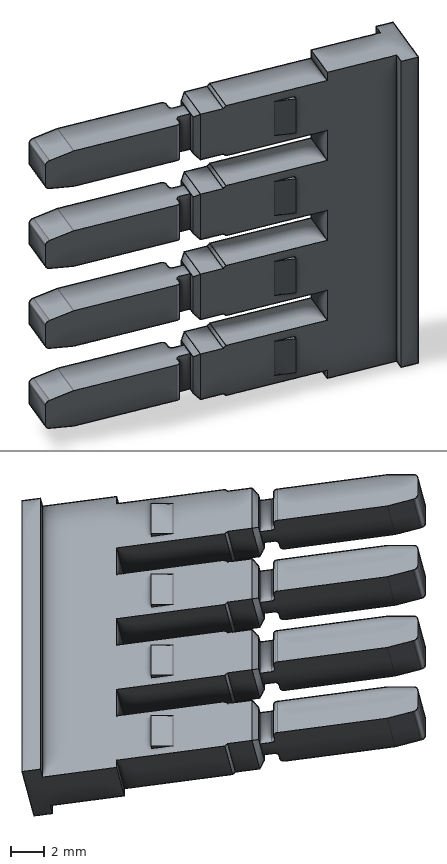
import cadquery as cq
import math

height = 22.6
length = 24.0
contact_count = 4
contact_pitch = 5.9

flange_width = 3.9
flange_depth = 1.13
stem_width = 2.5
spine_depth = 5.65

body_height = 3.7
front_body_height = 3.35
step_start = 12.25
body_end = 13.9
end_chamfer = 0.34
step_run = (body_height - front_body_height) / 2

neck_width = 0.95
neck_fillet = 0.25
blade_start = 15.17
blade_height = 2.62
blade_corner = 0.26
taper_start = 22.15
taper_angle = 10.0
tip_radius = 0.34

catch_start = 7.78
catch_end = 9.07
catch_height = 2.52
catch_rise = 0.25


def block(width, start, end, tall):
    """Box centred on X and Z, spanning two depths measured from the back face."""
    return cq.Workplane("XY").box(width, end - start, tall).translate((0, -(start + end) / 2, 0))


def side_profile(points):
    """Extrude a profile of (depth, Z) points across the stem width."""
    return (
        cq.Workplane("YZ")
        .polyline([(-depth, z) for depth, z in points])
        .close()
        .extrude(stem_width / 2, both=True)
    )


def make_body():
    half_body = body_height / 2
    half_front = front_body_height / 2
    rear = side_profile([
        (spine_depth, half_body),
        (step_start, half_body),
        (step_start + step_run, half_front),
        (step_start + step_run, -half_front),
        (step_start, -half_body),
        (spine_depth, -half_body),
    ])
    nose_end = body_end + end_chamfer
    nose = block(stem_width, step_start, nose_end, front_body_height)
    return rear.union(nose.faces("<Y").chamfer(end_chamfer))


def make_blade():
    half_blade = blade_height / 2
    half_tip = half_blade - (length - taper_start) * math.tan(math.radians(taper_angle))
    blade = side_profile([
        (blade_start, half_blade),
        (taper_start, half_blade),
        (length, half_tip),
        (length, -half_tip),
        (taper_start, -half_blade),
        (blade_start, -half_blade),
    ])
    blade = blade.faces("<Y").edges("|X").fillet(tip_radius)
    blade = blade.faces(">Y").edges("|Z").fillet(blade_corner)
    neck = block(neck_width, body_end, blade_start, blade_height)
    neck_root = cq.selectors.BoxSelector(
        (-neck_width, -blade_start - neck_fillet / 2, -blade_height),
        (neck_width, -blade_start + neck_fillet / 2, blade_height),
    )
    return blade.union(neck).edges("|Z").edges(neck_root).fillet(neck_fillet)


def make_catches():
    half_stem = stem_width / 2
    half_catch = half_stem + catch_rise
    return (
        cq.Workplane("XY")
        .polyline([
            (-half_catch, -catch_start),
            (half_catch, -catch_start),
            (half_stem, -catch_end),
            (-half_stem, -catch_end),
        ])
        .close()
        .extrude(catch_height / 2, both=True)
    )


contact = make_body().union(make_blade()).union(make_catches())

result = block(flange_width, 0, flange_depth, height).union(block(stem_width, 0, spine_depth, height))
for index in range(contact_count):
    contact_z = (index - (contact_count - 1) / 2) * contact_pitch
    result = result.union(contact.translate((0, 0, contact_z)))